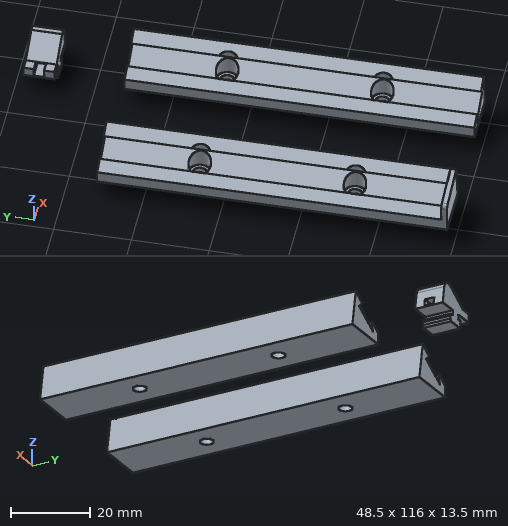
import cadquery as cq
import math

BODY_WIDTH = 13.6
SLOPE = math.tan(math.radians(30))
LEAN = math.tan(math.radians(10))

RAIL_LENGTH = 90.0
RAIL_SPACING = 34.9
RAIL_FRONT_HEIGHT = 3.2
GROOVE_FLOOR_BASE = 0.9
LOWER_LIP_X = 3.1
UPPER_LIP_X = 8.4
LOWER_CORNER_X = 2.8
LOWER_NOSE_X = 3.4
LOWER_NOSE_Z = 3.4
UPPER_CORNER_X = 9.9

HOLE_X = BODY_WIDTH / 2
HOLE_POSITIONS_Y = (25.0, 65.0)
HOLE_DIAMETER = 3.5
COUNTERBORE_DIAMETER = 5.7
COUNTERBORE_FLOOR = 1.6

STOP_THICKNESS = 1.5
STOP_FILLET = 1.2

CLIP_LENGTH = 8.0
CLIP_BACK_Y = 116.0
TOE_HEIGHT = 2.5
CREST_RADIUS = 2.3
CREST_START_TILT = math.radians(15)
SLOT_WIDTH = 2.7
SLOT_FLOOR = 0.3
SLOT_ROOF = 2.2

FOOT_X = BODY_WIDTH / 2
STEM_WIDTH = 3.0
STEM_HEIGHT = 1.3
FOOT_WIDTH = 5.3
FOOT_DEPTH = 3.5
FOOT_CHAMFER_WIDTH = 0.2
FOOT_CHAMFER_HEIGHT = 0.7

RIDGE_X = (BODY_WIDTH - LEAN * RAIL_FRONT_HEIGHT) / (1 + LEAN * SLOPE)
RIDGE_Z = RAIL_FRONT_HEIGHT + SLOPE * RIDGE_X


def top_point(x):
    """Point on the sloping top face of a rail."""
    return (x, RAIL_FRONT_HEIGHT + SLOPE * x)


def floor_point(x):
    """Point on the groove floor, parallel to the top face."""
    return (x, GROOVE_FLOOR_BASE + SLOPE * x)


def extrude_along_y(outline, length):
    """Extrude a closed XZ outline from y = 0 towards +Y."""
    return outline.extrude(-length)


def make_rail():
    """Wedge with a dovetail groove in its sloping face and two screw holes."""
    outline = cq.Workplane("XZ").polyline([
        (0, 0),
        top_point(0),
        top_point(LOWER_LIP_X),
        (LOWER_NOSE_X, LOWER_NOSE_Z),
        floor_point(LOWER_CORNER_X),
        floor_point(UPPER_CORNER_X),
        top_point(UPPER_LIP_X),
        (RIDGE_X, RIDGE_Z),
        (BODY_WIDTH, 0),
    ]).close()
    rail = extrude_along_y(outline, RAIL_LENGTH)
    for y in HOLE_POSITIONS_Y:
        hole = cq.Workplane("XY").center(HOLE_X, y).circle(HOLE_DIAMETER / 2).extrude(RIDGE_Z)
        counterbore = (
            cq.Workplane("XY", origin=(HOLE_X, y, COUNTERBORE_FLOOR))
            .circle(COUNTERBORE_DIAMETER / 2)
            .extrude(RIDGE_Z)
        )
        rail = rail.cut(hole).cut(counterbore)
    return rail


def make_end_stop():
    """Plate that closes the groove; its top edge is square to the back wall."""
    outline = cq.Workplane("XZ").polyline([
        (0, 0),
        (0, RIDGE_Z - LEAN * RIDGE_X),
        (RIDGE_X, RIDGE_Z),
        (BODY_WIDTH, 0),
    ]).close()
    plate = extrude_along_y(outline, STOP_THICKNESS)
    upper_front_edge = cq.selectors.BoxSelector(
        (-STOP_FILLET, 0, RAIL_FRONT_HEIGHT), (STOP_FILLET, STOP_THICKNESS, RIDGE_Z)
    )
    return plate.edges("|Y").edges(upper_front_edge).fillet(STOP_FILLET)


def make_foot():
    """T-shaped foot with chamfered flange edges, hanging below z = 0."""
    half_stem = STEM_WIDTH / 2
    half_foot = FOOT_WIDTH / 2
    right_side = [
        (half_stem, 0),
        (half_stem, -STEM_HEIGHT),
        (half_foot - FOOT_CHAMFER_WIDTH, -STEM_HEIGHT),
        (half_foot, -STEM_HEIGHT - FOOT_CHAMFER_HEIGHT),
        (half_foot, -FOOT_DEPTH + FOOT_CHAMFER_HEIGHT),
        (half_foot - FOOT_CHAMFER_WIDTH, -FOOT_DEPTH),
    ]
    left_side = [(-x, z) for x, z in reversed(right_side)]
    outline = cq.Workplane("XZ", origin=(FOOT_X, 0, 0)).polyline(right_side + left_side).close()
    return extrude_along_y(outline, CLIP_LENGTH)


def make_clip():
    """Wedge with a flat toe, a rounded crest, a through slot and a foot."""
    toe_x = (TOE_HEIGHT - GROOVE_FLOOR_BASE) / SLOPE
    lean_angle = math.atan(LEAN)
    start_angle = math.pi / 2 + CREST_START_TILT
    mid_angle = (start_angle + lean_angle) / 2
    start_dx = CREST_RADIUS * math.cos(start_angle)
    start_dz = CREST_RADIUS * math.sin(start_angle)
    start_x = (
        BODY_WIDTH - CREST_RADIUS / math.cos(lean_angle)
        + start_dx + LEAN * (start_dz - GROOVE_FLOOR_BASE)
    ) / (1 + LEAN * SLOPE)
    start_z = floor_point(start_x)[1]
    centre_x = start_x - start_dx
    centre_z = start_z - start_dz

    def crest_point(angle):
        return (centre_x + CREST_RADIUS * math.cos(angle), centre_z + CREST_RADIUS * math.sin(angle))

    outline = (
        cq.Workplane("XZ")
        .polyline([(0, 0), (0, TOE_HEIGHT), (toe_x, TOE_HEIGHT), (start_x, start_z)])
        .threePointArc(crest_point(mid_angle), crest_point(lean_angle))
        .lineTo(BODY_WIDTH, 0)
        .close()
    )
    clip = extrude_along_y(outline, CLIP_LENGTH)

    slot_start_y = (CLIP_LENGTH - SLOT_WIDTH) / 2
    tunnel = cq.Workplane("XY").box(
        BODY_WIDTH, SLOT_WIDTH, SLOT_ROOF - SLOT_FLOOR, centered=False
    ).translate((0, slot_start_y, SLOT_FLOOR))
    toe_notch = cq.Workplane("XY").box(
        toe_x, SLOT_WIDTH, TOE_HEIGHT - SLOT_FLOOR, centered=False
    ).translate((0, slot_start_y, SLOT_FLOOR))
    return clip.cut(tunnel).cut(toe_notch).union(make_foot())


stopped_rail = make_rail().union(make_end_stop())
open_rail = make_rail().translate((RAIL_SPACING, 0, 0))
clip = make_clip().translate((RAIL_SPACING, CLIP_BACK_Y - CLIP_LENGTH, 0))

result = cq.Compound.makeCompound([stopped_rail.val(), open_rail.val(), clip.val()])